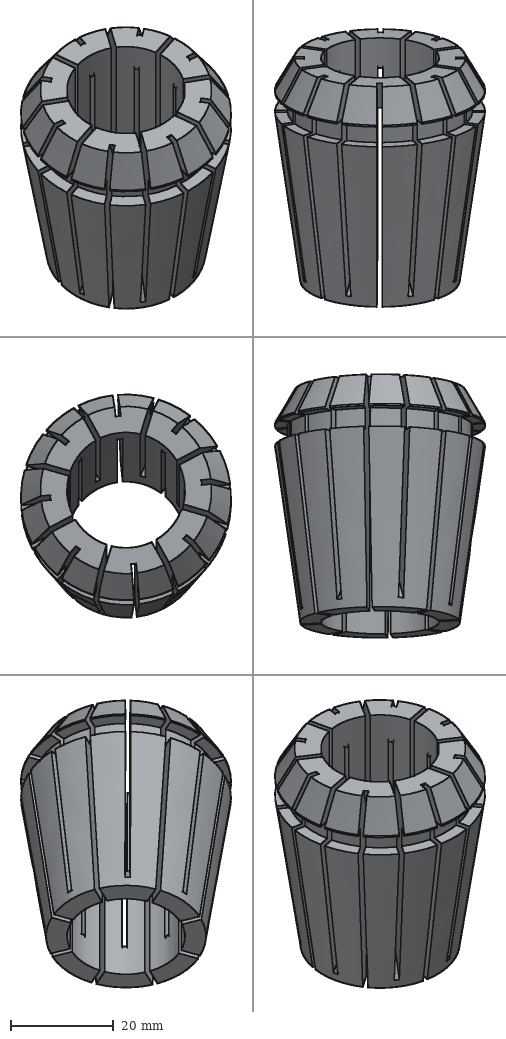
import cadquery as cq
import math

height = 46
outer_diameter = 41.0
bore_diameter = 23
outer_radius = outer_diameter / 2
bore_radius = bore_diameter / 2

head_height = 7.0
rim_height = 0.35
head_half_angle = 30
head_bottom = height - head_height
rim_top = head_bottom + rim_height
top_radius = outer_radius - (height - rim_top) * math.tan(math.radians(head_half_angle))

groove_height = 4.1
groove_radius = 18.05
groove_bottom = head_bottom - groove_height

body_half_angle = 8
bottom_radius = outer_radius - groove_bottom * math.tan(math.radians(body_half_angle))

slots_per_end = 8
slot_width = 1.0
slot_pitch = 360 / slots_per_end
slot_overrun = 2.3
slot_reach = outer_radius + slot_overrun

top_slot_bore_z = 7.1
top_slot_outer_z = 1.9
top_slot_outer_radius = bottom_radius + top_slot_outer_z * math.tan(math.radians(body_half_angle))

bottom_slot_bore_z = 39.75
bottom_slot_breakout_radius = 14.8


def collet_blank():
    """Ring with the head, groove and tapered body, turned about Z."""
    outline = [
        (bore_radius, 0),
        (bottom_radius, 0),
        (outer_radius, groove_bottom),
        (groove_radius, groove_bottom),
        (groove_radius, head_bottom),
        (outer_radius, head_bottom),
        (outer_radius, rim_top),
        (top_radius, height),
        (bore_radius, height),
    ]
    return cq.Workplane("XZ").polyline(outline).close().revolve(360, (0, 0), (0, 1))


def radial_slot(bore_z, far_radius, far_z, open_end_z):
    """Thin radial cutter along +X, from open_end_z to a sloping end.

    The slope passes through (bore_radius, bore_z) and (far_radius, far_z).
    """
    slope = (far_z - bore_z) / (far_radius - bore_radius)
    axis_z = bore_z - slope * bore_radius
    reach_z = bore_z + slope * (slot_reach - bore_radius)
    profile = [(0, axis_z), (slot_reach, reach_z), (slot_reach, open_end_z), (0, open_end_z)]
    return cq.Workplane("XZ").polyline(profile).close().extrude(slot_width / 2, both=True)


top_slot = radial_slot(top_slot_bore_z, top_slot_outer_radius, top_slot_outer_z, height + slot_overrun)
bottom_slot = radial_slot(bottom_slot_bore_z, bottom_slot_breakout_radius, height, -slot_overrun)

result = collet_blank()
for index in range(slots_per_end):
    top_angle = index * slot_pitch
    bottom_angle = top_angle + slot_pitch / 2
    result = result.cut(top_slot.rotate((0, 0, 0), (0, 0, 1), top_angle))
    result = result.cut(bottom_slot.rotate((0, 0, 0), (0, 0, 1), bottom_angle))